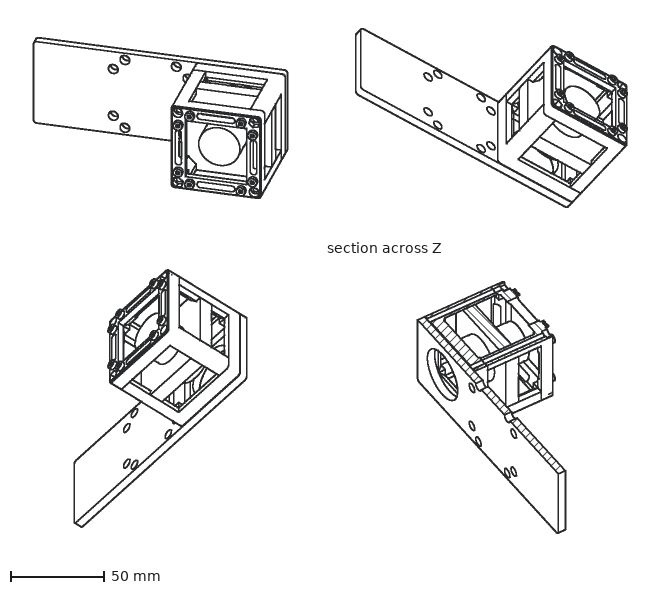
import cadquery as cq
import math

CUBE = 49.8
BAR = 7.8
CORNER_RADIUS = 2.0
FRONT_CHAMFER = 0.63
HEAD_HEIGHT = 2.1
PLATE_THICKNESS = 4.6
PLATE_GAP = 0.3
LENGTH = 140.0
DEPTH = HEAD_HEIGHT + CUBE + PLATE_GAP + PLATE_THICKNESS

HALF = CUBE / 2
WINDOW = CUBE - 2 * BAR
WINDOW_HALF = WINDOW / 2
CUBE_X = LENGTH - HALF
FRONT_Y = -DEPTH / 2 + HEAD_HEIGHT
BACK_Y = FRONT_Y + CUBE
MIDDLE_Y = FRONT_Y + HALF

INNER_CHAMFER = 4.3

HEAD_DIAMETER = 4.9
SOCKET_DIAMETER = 2.1
SOCKET_DEPTH = 1.4
SCREW_NEAR = 14.3
SCREW_FAR = 20.7
BOLT_OFFSET = 21.3
BOLT_DIAMETER = 3.1
COUNTERBORE_DIAMETER = 5.5
NUT_ACROSS_FLATS = 5.3
NUT_TILT = 15
RECESS_DEPTH = 3.5
SLOT_LENGTH = 21.0
SLOT_WIDTH = 3.5
SLOT_OFFSET = 20.9

PLATE_HOLE_DIAMETER = 5.3
HOLE_PATTERN_PITCH = 50.0
OPENING_DIAMETER = 30.0

INSERT_THICKNESS = 8.0
LENS_DIAMETER = 23.0
LENS_FRONT_Y = -19.3
FLANGE_DIAMETER = 27.2
FLANGE_BACK_Y = 13.3

SCREW_POINTS = [
    (sx * x, sz * z)
    for x, z in [(SCREW_NEAR, SCREW_FAR), (SCREW_FAR, SCREW_NEAR)]
    for sx in (-1, 1)
    for sz in (-1, 1)
]
LID_POSTS = [(-1, 1), (1, -1)]
BASE_POSTS = [(-1, -1), (1, 1)]


def section(y, x=CUBE_X):
    """Workplane across the cube axis: local x is X, local y is Z, with its normal towards -Y."""
    return cq.Workplane(cq.Plane((x, y, 0), xDir=(1, 0, 0), normal=(0, -1, 0)))


def along_y(sketch, length):
    """Extrude a sketch drawn on a `section` plane towards +Y."""
    return sketch.extrude(-length)


def cube_cavity():
    """Everything removed from the cube: three square windows and the inner edge chamfers."""
    side = WINDOW + 2 * INNER_CHAMFER
    cavity = cq.Workplane("XY").box(CUBE, WINDOW, WINDOW)
    cavity = cavity.union(cq.Workplane("XY").box(WINDOW, CUBE, WINDOW))
    cavity = cavity.union(cq.Workplane("XY").box(WINDOW, WINDOW, CUBE))
    for plane, edges in [("XY", "|Z"), ("YZ", "|X"), ("XZ", "|Y")]:
        prism = cq.Workplane(plane).rect(side, side).extrude(WINDOW_HALF, both=True)
        cavity = cavity.union(prism.edges(edges).chamfer(INNER_CHAMFER))
    return cavity.translate((CUBE_X, MIDDLE_Y, 0))


def corner_points(corners, offset):
    return [(sx * offset, sz * offset) for sx, sz in corners]


def cube_frame():
    """The whole cube before it is divided into base and lid, with a bolt hole along each post."""
    block = along_y(section(FRONT_Y).rect(CUBE, CUBE), CUBE)
    block = block.edges("|Y").fillet(CORNER_RADIUS)
    block = block.faces("<Y").chamfer(FRONT_CHAMFER)
    bolts = section(FRONT_Y).pushPoints(corner_points(LID_POSTS + BASE_POSTS, BOLT_OFFSET))
    block = block.cut(along_y(bolts.circle(BOLT_DIAMETER / 2), CUBE))
    return block.cut(cube_cavity())


def half_envelope(ring_y, posts):
    """The room one half takes: its ring slab, and its posts reaching to the other ring."""
    envelope = along_y(section(ring_y).rect(CUBE, CUBE), BAR)
    points = corner_points(posts, HALF - BAR / 2)
    columns = along_y(section(FRONT_Y + BAR).pushPoints(points).rect(BAR, BAR), WINDOW)
    return envelope.union(columns)


def make_base():
    return cube_frame().intersect(half_envelope(BACK_Y - BAR, BASE_POSTS))


def cut_bolt_recesses(lid):
    """Counterbores over the lid's own posts and nut pockets over the base's posts."""
    bores = section(FRONT_Y).pushPoints(corner_points(LID_POSTS, BOLT_OFFSET))
    lid = lid.cut(along_y(bores.circle(COUNTERBORE_DIAMETER / 2), RECESS_DEPTH))

    nut_circle = NUT_ACROSS_FLATS / math.cos(math.pi / 6)
    nut = along_y(section(FRONT_Y).polygon(6, nut_circle), RECESS_DEPTH)
    nut = nut.rotate((CUBE_X, 0, 0), (CUBE_X, 1, 0), -NUT_TILT)
    for x, z in corner_points(BASE_POSTS, BOLT_OFFSET):
        lid = lid.cut(nut.translate((x, 0, z)))
    return lid


def cut_slots(lid):
    """One slot along the middle of each side of the front ring."""
    for side in range(4):
        slot = along_y(section(FRONT_Y).center(0, SLOT_OFFSET).slot2D(SLOT_LENGTH, SLOT_WIDTH), BAR)
        lid = lid.cut(slot.rotate((CUBE_X, 0, 0), (CUBE_X, 1, 0), 90 * side))
    return lid


def add_screw_heads(lid):
    """Socket heads standing on the front face, part of the lid."""
    heads = section(FRONT_Y - HEAD_HEIGHT).pushPoints(SCREW_POINTS)
    lid = lid.union(along_y(heads.circle(HEAD_DIAMETER / 2), HEAD_HEIGHT))
    sockets = section(FRONT_Y - HEAD_HEIGHT).pushPoints(SCREW_POINTS)
    return lid.cut(along_y(sockets.circle(SOCKET_DIAMETER / 2), SOCKET_DEPTH))


def make_lid():
    lid = cube_frame().intersect(half_envelope(FRONT_Y, LID_POSTS))
    lid = cut_bolt_recesses(lid)
    lid = cut_slots(lid)
    return add_screw_heads(lid)


def make_plate():
    start_y = BACK_Y + PLATE_GAP
    plate = cq.Workplane("XY").box(LENGTH, PLATE_THICKNESS, CUBE, centered=(False, False, True))
    plate = plate.translate((0, start_y, 0)).edges("|Y").fillet(CORNER_RADIUS)
    holes = section(start_y, CUBE_X - HOLE_PATTERN_PITCH).pushPoints(SCREW_POINTS)
    plate = plate.cut(along_y(holes.circle(PLATE_HOLE_DIAMETER / 2), PLATE_THICKNESS))
    return plate.cut(along_y(section(start_y).circle(OPENING_DIAMETER / 2), PLATE_THICKNESS))


def make_insert():
    """Cross-shaped plate that fills the windows and the chamfers between the four posts."""
    start_y = -INSERT_THICKNESS / 2
    core = WINDOW + 2 * INNER_CHAMFER
    insert = along_y(section(start_y).rect(core, core), INSERT_THICKNESS)
    insert = insert.edges("|Y").chamfer(INNER_CHAMFER)
    insert = insert.union(along_y(section(start_y).rect(CUBE, WINDOW), INSERT_THICKNESS))
    insert = insert.union(along_y(section(start_y).rect(WINDOW, CUBE), INSERT_THICKNESS))
    return insert.cut(along_y(section(start_y).circle(LENS_DIAMETER / 2), INSERT_THICKNESS))


def make_lens():
    flange_y = INSERT_THICKNESS / 2
    barrel = along_y(section(LENS_FRONT_Y).circle(LENS_DIAMETER / 2), flange_y - LENS_FRONT_Y)
    return barrel.union(along_y(section(flange_y).circle(FLANGE_DIAMETER / 2), FLANGE_BACK_Y - flange_y))


base = make_base()
lid = make_lid()
plate = make_plate()
insert = make_insert()
lens = make_lens()

result = cq.Compound.makeCompound([base.val(), lid.val(), plate.val(), insert.val(), lens.val()])